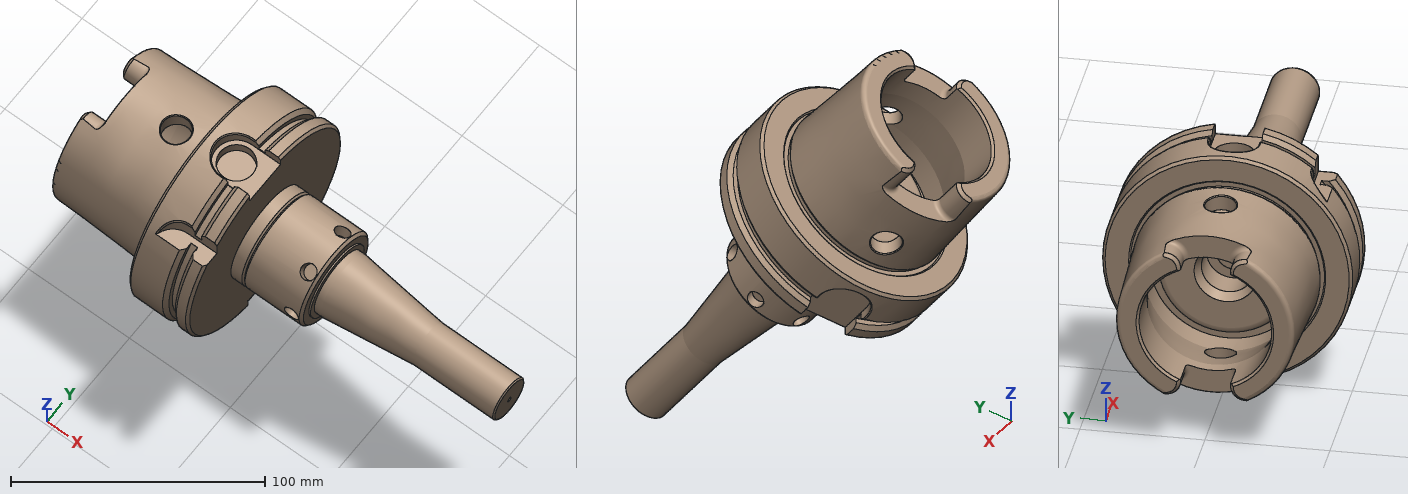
import cadquery as cq
import math

OVERALL_LENGTH = 200.0

FLANGE_RADIUS = 50.0
FLANGE_START = 49.5
FLANGE_END = 79.0
FLANGE_CHAMFER = 1.2
GROOVE_RADIUS = 46.0
GROOVE_START = 68.2
GROOVE_END = 71.5
GROOVE_CHAMFER = 1.8

TAPER_END_RADIUS = 35.5
TAPER_BASE_RADIUS = 37.5
TAPER_LENGTH = 47.5
TAPER_END_FILLET = 2.0
RELIEF_RADIUS = 36.8
RELIEF_SLOPE_LENGTH = 1.0
RELIEF_FACE_RADIUS = 39.5
RELIEF_FACE_DEPTH = 0.5

CAVITY_MOUTH_RADIUS = 53.0 / 2
CAVITY_INNER_RADIUS = 31.0
CAVITY_CHAMFER = 1.0
CAVITY_CONE_START = 19.0
CAVITY_CONE_END = 39.2
CAVITY_DEPTH = 50.0

BOSS_TOP_X = 46.0
BOSS_TOP_RADIUS = 24.5
BOSS_FILLET = 3.0

CONNECTION_RADIUS = 21.0 / 2
CONNECTION_MOUTH_RADIUS = 25.2 / 2
CONNECTION_CONE_LENGTH = 4.5
CONNECTION_DEPTH = 16.0

CROSS_HOLE_DIAMETER = 12.5
CROSS_HOLE_X = 35.0
CROSS_HOLE_CHAMFER = 0.5

NOTCH_HALF_WIDTH = 10.0
NOTCH_CORNER_RADIUS = 6.0
NOTCH_SHOULDER_HEIGHT = 31.5
NOTCH_FLOOR_FILLET = 2.0
NOTCH_END_CHAMFER = 1.5
NOTCH_END_CHAMFER_ANGLE = 45
UPPER_NOTCH_DEPTH = 9.8
LOWER_NOTCH_DEPTH = 14.5

SLOT_CENTER_X = 64.8
UPPER_SLOT_WIDTH = 20.0
LOWER_SLOT_WIDTH = 22.0
SLOT_EDGE_CHAMFER = 0.5
SLOT_FLOOR_HEIGHT = 44.0
CHIP_HOLE_DIAMETER = 16.0
CHIP_HOLE_DEPTH = 5.2
CORNER_POCKET_OFFSET = 31.2
CORNER_POCKET_END_RADIUS = 10.0

COLLAR_RADIUS = 44.5 / 2
JOINT_X = 85.2
JOINT_CHAMFER = 0.8

NUT_END = 114.0
NUT_FRONT_CHAMFER = 1.2
SPANNER_HOLE_COUNT = 6
SPANNER_HOLE_DIAMETER = 7.0
SPANNER_HOLE_DEPTH = 5.0
SPANNER_HOLE_X = 109.0

DISC_RADIUS = 17.5
DISC_START = 113.2
DISC_END = 114.8

SHANK_RADIUS = 13.0 / 2
COOLANT_DIAMETER = 2.0
SHOULDER_RADIUS = 30.0 / 2
SHOULDER_END = 118.2
NOSE_RADIUS = 20.0 / 2
NOSE_START = 160.0
NOSE_CHAMFER = 0.5

CUT_MARGIN = 10.0

SHANK_START = BOSS_TOP_X + CONNECTION_DEPTH


def turned(points):
    """Solid of revolution about X from (x, radius) points."""
    return cq.Workplane("XY").polyline(points).close().revolve(360, (0, 0, 0), (1, 0, 0))


def x_cylinder(radius, start, end):
    return cq.Workplane("YZ", origin=(start, 0, 0)).circle(radius).extrude(end - start)


def housing_blank():
    outline = [
        (0, 0),
        (0, TAPER_END_RADIUS),
        (TAPER_LENGTH, TAPER_BASE_RADIUS),
        (TAPER_LENGTH + RELIEF_SLOPE_LENGTH, RELIEF_RADIUS),
        (FLANGE_START + RELIEF_FACE_DEPTH, RELIEF_RADIUS),
        (FLANGE_START + RELIEF_FACE_DEPTH, RELIEF_FACE_RADIUS - RELIEF_FACE_DEPTH),
        (FLANGE_START, RELIEF_FACE_RADIUS),
        (FLANGE_START, FLANGE_RADIUS - FLANGE_CHAMFER),
        (FLANGE_START + FLANGE_CHAMFER, FLANGE_RADIUS),
        (GROOVE_START - GROOVE_CHAMFER, FLANGE_RADIUS),
        (GROOVE_START, FLANGE_RADIUS - GROOVE_CHAMFER),
        (GROOVE_START, GROOVE_RADIUS),
        (GROOVE_END, GROOVE_RADIUS),
        (GROOVE_END, FLANGE_RADIUS - GROOVE_CHAMFER),
        (GROOVE_END + GROOVE_CHAMFER, FLANGE_RADIUS),
        (FLANGE_END - FLANGE_CHAMFER, FLANGE_RADIUS),
        (FLANGE_END, FLANGE_RADIUS - FLANGE_CHAMFER),
        (FLANGE_END, COLLAR_RADIUS),
        (JOINT_X - JOINT_CHAMFER, COLLAR_RADIUS),
        (JOINT_X, COLLAR_RADIUS - JOINT_CHAMFER),
        (JOINT_X, 0),
    ]
    return turned(outline).faces("<X").edges().fillet(TAPER_END_FILLET)


def housing_cavity():
    """Hollow that widens behind its mouth, with a filleted boss left standing on the floor."""
    hollow = turned([
        (0, 0),
        (0, CAVITY_MOUTH_RADIUS + CAVITY_CHAMFER),
        (CAVITY_CHAMFER, CAVITY_MOUTH_RADIUS),
        (CAVITY_CONE_START, CAVITY_MOUTH_RADIUS),
        (CAVITY_CONE_END, CAVITY_INNER_RADIUS),
        (CAVITY_DEPTH, CAVITY_INNER_RADIUS),
        (CAVITY_DEPTH, 0),
    ])
    boss = x_cylinder(BOSS_TOP_RADIUS + BOSS_FILLET, BOSS_TOP_X, CAVITY_DEPTH)
    return hollow.cut(boss.faces("<X").edges().fillet(BOSS_FILLET))


def coolant_connection():
    """Bore with a conical mouth in the boss, ending at the seat of the tool shank."""
    return turned([
        (BOSS_TOP_X, 0),
        (BOSS_TOP_X, CONNECTION_MOUTH_RADIUS),
        (BOSS_TOP_X + CONNECTION_CONE_LENGTH, CONNECTION_RADIUS),
        (SHANK_START, CONNECTION_RADIUS),
        (SHANK_START, 0),
    ])


def notch_profile(clearance):
    """Upward-opening notch section whose walls round out into flat shoulders."""
    half_width = NOTCH_HALF_WIDTH + clearance
    shoulder = NOTCH_SHOULDER_HEIGHT - clearance
    radius = NOTCH_CORNER_RADIUS - clearance
    reach = half_width + radius
    bend = radius * (1 - math.sqrt(0.5))
    top = TAPER_BASE_RADIUS + CUT_MARGIN
    side = reach + CUT_MARGIN
    return (
        cq.Workplane("YZ")
        .moveTo(-half_width, 0)
        .lineTo(half_width, 0)
        .lineTo(half_width, shoulder - radius)
        .threePointArc((half_width + bend, shoulder - bend), (reach, shoulder))
        .lineTo(side, shoulder)
        .lineTo(side, top)
        .lineTo(-side, top)
        .lineTo(-side, shoulder)
        .lineTo(-reach, shoulder)
        .threePointArc((-half_width - bend, shoulder - bend), (-half_width, shoulder - radius))
        .close()
    )


def notch_cutter(depth):
    """Upper drive notch with a filleted floor and chamfered edges at the taper end."""
    slot = notch_profile(0).extrude(depth).faces(">X").edges().fillet(NOTCH_FLOOR_FILLET)
    flare = notch_profile(NOTCH_END_CHAMFER).extrude(NOTCH_END_CHAMFER, taper=NOTCH_END_CHAMFER_ANGLE)
    return slot.union(flare)


def flange_slot_cutter(width):
    """Round-ended slot above the slot floor, open toward the nut."""
    height = FLANGE_RADIUS - SLOT_FLOOR_HEIGHT + CUT_MARGIN
    floor = cq.Workplane("XY", origin=(SLOT_CENTER_X, 0, SLOT_FLOOR_HEIGHT))
    run = FLANGE_END - SLOT_CENTER_X
    channel = floor.center(run / 2, 0).rect(run, width).extrude(height)
    return floor.circle(width / 2).extrude(height).union(channel)


def chip_hole_cutter():
    base = SLOT_FLOOR_HEIGHT - CHIP_HOLE_DEPTH
    return (
        cq.Workplane("XY", origin=(SLOT_CENTER_X, 0, base))
        .circle(CHIP_HOLE_DIAMETER / 2)
        .extrude(CHIP_HOLE_DEPTH)
    )


def corner_pocket_cutter():
    """Square corner taken off the flange between -Y and +Z, with a milled round end."""
    floor = cq.Workplane("XY", origin=(SLOT_CENTER_X, -CORNER_POCKET_OFFSET, CORNER_POCKET_OFFSET))
    run = FLANGE_END - SLOT_CENTER_X
    width = 2 * CORNER_POCKET_END_RADIUS
    round_end = floor.center(0, -CORNER_POCKET_END_RADIUS).circle(CORNER_POCKET_END_RADIUS).extrude(width)
    channel = floor.center(run / 2, -CORNER_POCKET_END_RADIUS).rect(run, width).extrude(width)
    return round_end.union(channel)


def cross_hole_cutter():
    return (
        cq.Workplane("XY", origin=(CROSS_HOLE_X, 0, 0))
        .circle(CROSS_HOLE_DIAMETER / 2)
        .extrude(FLANGE_RADIUS, both=True)
    )


def turned_over(cutter):
    """The same cutter on the -Z side."""
    return cutter.rotate((0, 0, 0), (1, 0, 0), 180)


def freeform_edges(body, start, end, min_radius):
    """Freeform edges between two X planes and outside a radius: where cuts cross the round outside."""

    def is_outer(edge):
        center = edge.Center()
        return start < center.x < end and math.hypot(center.y, center.z) > min_radius

    return body.edges("%BSPLINE").filter(is_outer)


def break_cross_hole_edges(body):
    hole_start = CROSS_HOLE_X - CROSS_HOLE_DIAMETER / 2
    hole_end = CROSS_HOLE_X + CROSS_HOLE_DIAMETER / 2
    edges = freeform_edges(body, hole_start, hole_end, CAVITY_INNER_RADIUS + CROSS_HOLE_CHAMFER)
    return edges.chamfer(CROSS_HOLE_CHAMFER)


def break_slot_edges(body):
    edges = freeform_edges(body, FLANGE_START, SLOT_CENTER_X, SLOT_FLOOR_HEIGHT)
    return edges.chamfer(SLOT_EDGE_CHAMFER)


def make_housing():
    body = (
        housing_blank()
        .cut(housing_cavity())
        .cut(coolant_connection())
        .cut(x_cylinder(SHANK_RADIUS, SHANK_START, JOINT_X))
        .cut(cross_hole_cutter())
        .cut(notch_cutter(UPPER_NOTCH_DEPTH))
        .cut(turned_over(notch_cutter(LOWER_NOTCH_DEPTH)))
        .cut(flange_slot_cutter(UPPER_SLOT_WIDTH))
        .cut(turned_over(flange_slot_cutter(LOWER_SLOT_WIDTH)))
        .cut(chip_hole_cutter())
        .cut(corner_pocket_cutter())
    )
    return break_slot_edges(break_cross_hole_edges(body))


def make_nut():
    nut = turned([
        (JOINT_X, SHANK_RADIUS),
        (JOINT_X, COLLAR_RADIUS - JOINT_CHAMFER),
        (JOINT_X + JOINT_CHAMFER, COLLAR_RADIUS),
        (NUT_END - NUT_FRONT_CHAMFER, COLLAR_RADIUS),
        (NUT_END, COLLAR_RADIUS - NUT_FRONT_CHAMFER),
        (NUT_END, DISC_RADIUS),
        (DISC_START, DISC_RADIUS),
        (DISC_START, SHANK_RADIUS),
    ])
    spanner_hole = (
        cq.Workplane("XZ", origin=(SPANNER_HOLE_X, SPANNER_HOLE_DEPTH - COLLAR_RADIUS, 0))
        .circle(SPANNER_HOLE_DIAMETER / 2)
        .extrude(SPANNER_HOLE_DEPTH + CUT_MARGIN)
    )
    for index in range(SPANNER_HOLE_COUNT):
        angle = index * 360 / SPANNER_HOLE_COUNT
        nut = nut.cut(spanner_hole.rotate((0, 0, 0), (1, 0, 0), angle))
    return nut


def make_sealing_disc():
    disc = x_cylinder(DISC_RADIUS, DISC_START, DISC_END)
    return disc.cut(x_cylinder(SHANK_RADIUS, DISC_START, DISC_END))


def make_tool_extension():
    body = turned([
        (SHANK_START, 0),
        (SHANK_START, SHANK_RADIUS),
        (DISC_END, SHANK_RADIUS),
        (DISC_END, SHOULDER_RADIUS),
        (SHOULDER_END, SHOULDER_RADIUS),
        (NOSE_START, NOSE_RADIUS),
        (OVERALL_LENGTH - NOSE_CHAMFER, NOSE_RADIUS),
        (OVERALL_LENGTH, NOSE_RADIUS - NOSE_CHAMFER),
        (OVERALL_LENGTH, 0),
    ])
    return body.cut(x_cylinder(COOLANT_DIAMETER / 2, SHANK_START, OVERALL_LENGTH))


housing = make_housing()
nut = make_nut()
sealing_disc = make_sealing_disc()
tool_extension = make_tool_extension()

result = cq.Compound.makeCompound([
    housing.val(),
    nut.val(),
    sealing_disc.val(),
    tool_extension.val(),
])